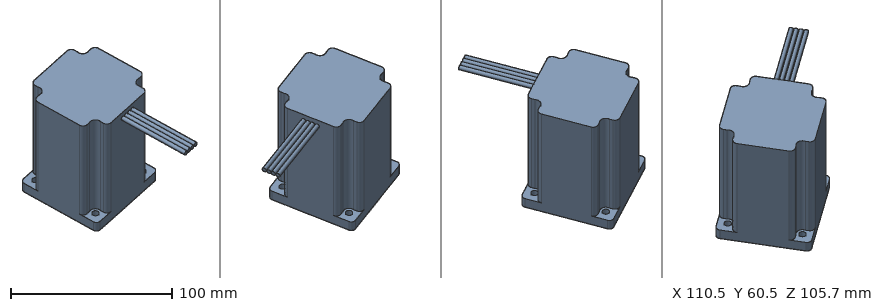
import cadquery as cq

overall_length = 110.5
motor_width = 60.5
motor_height = 85.0

flange_thickness = 7.5
flange_corner_radius = 3.0
hole_spacing = 47.2
hole_diameter = 4.5

relief_width = 10.5
relief_edge_radius = 3.3
screw_clearance_radius = 4.0

pilot_diameter = 38.1
pilot_height = 1.5
shaft_diameter = 8.0
shaft_length = 20.7

wire_count = 4
wire_diameter = 3.0
wire_pitch = 3.2
wire_depth_below_top = 5.0


def at_screws(workplane):
    return workplane.rect(hole_spacing, hole_spacing, forConstruction=True).vertices()


def make_flange():
    plate = cq.Workplane("XY").rect(motor_width, motor_width).extrude(flange_thickness)
    plate = plate.edges("|Z").fillet(flange_corner_radius)
    holes = at_screws(cq.Workplane("XY")).circle(hole_diameter / 2).extrude(flange_thickness)
    return plate.cut(holes)


def make_housing():
    """Cross-shaped block with rounded arms and a concave round in each inner corner."""
    base = cq.Workplane("XY").workplane(offset=flange_thickness)
    height = motor_height - flange_thickness
    arm_width = motor_width - 2 * relief_width
    arm_x = base.rect(motor_width, arm_width).extrude(height)
    arm_y = base.rect(arm_width, motor_width).extrude(height)
    arm_x = arm_x.edges("|Z").fillet(relief_edge_radius)
    arm_y = arm_y.edges("|Z").fillet(relief_edge_radius)
    core = base.rect(hole_spacing, hole_spacing).extrude(height)
    clearance = at_screws(base).circle(screw_clearance_radius).extrude(height)
    return arm_x.union(arm_y).union(core).cut(clearance)


def make_output_end():
    pilot = cq.Workplane("XY").circle(pilot_diameter / 2).extrude(-pilot_height)
    shaft = cq.Workplane("XY").circle(shaft_diameter / 2).extrude(-shaft_length)
    return pilot.union(shaft)


def make_wires():
    end_x = overall_length - motor_width / 2
    return (
        cq.Workplane("YZ")
        .center(0, motor_height - wire_depth_below_top)
        .rarray(wire_pitch, 1.1, wire_count, 1)
        .circle(wire_diameter / 2)
        .extrude(end_x)
    )


result = make_flange().union(make_housing()).union(make_output_end()).union(make_wires())